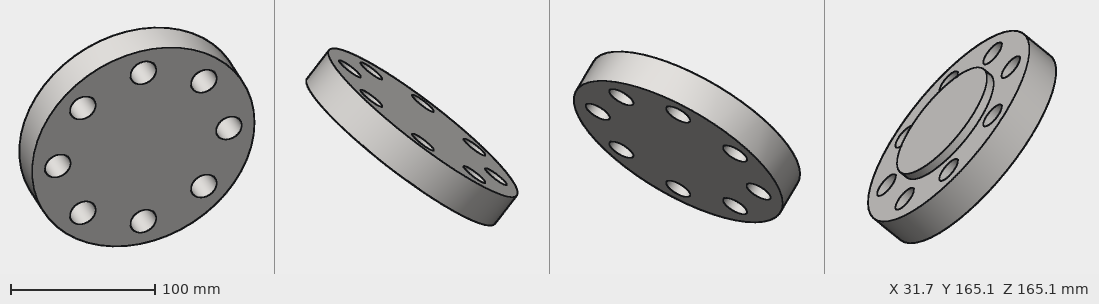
import cadquery as cq

flange_diameter = 165.1
overall_thickness = 31.7
raised_face_diameter = 92.1
raised_face_height = 6.3
bolt_circle_diameter = 127.0
bolt_hole_diameter = 19.0
bolt_count = 8

flange_thickness = overall_thickness - raised_face_height

flange = cq.Workplane("YZ").circle(flange_diameter / 2).extrude(-flange_thickness)

raised_face = (
    cq.Workplane("YZ")
    .circle(raised_face_diameter / 2)
    .extrude(-overall_thickness)
)

bolt_holes = (
    cq.Workplane("YZ")
    .polarArray(bolt_circle_diameter / 2, 0, 360, bolt_count)
    .circle(bolt_hole_diameter / 2)
    .extrude(-flange_thickness)
)

result = flange.union(raised_face).cut(bolt_holes)